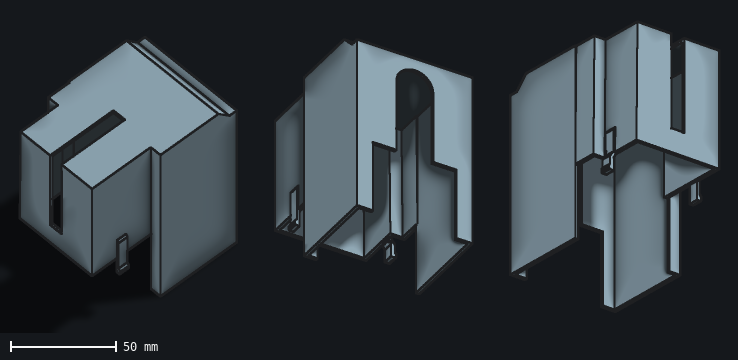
import cadquery as cq

width = 63.5
depth = 88.0
height = 102.0

side_wall = 1.8
front_wall = 1.5
top_wall = 1.6

skirt_front = 38.2
left_step_front = 24.4
step_width = 6.7
body_bottom = 39.2
left_lean = 0.6

ledge_drop = 6.9
ledge_depth = 4.9
slope_run = 7.1

slot_width = 7.9
slot_bottom = 51.9
slot_back = 41.2
rear_flange = 8.8
arch_radius = 10.2
rear_opening_top = 88.2

clip_front = 16.3
clip_width = 5.8
clip_bottom = 29.1
clip_top = 52.2
clip_chamfer = 1.3
clip_bulge_bottom = 30.1
clip_bulge_top = 31.1
rib_bottom = 36.7
rib_top = 41.5
rib_width = 0.3
rib_depth = 1.3

mid_x = width / 2
front_left = step_width
front_right = width - step_width


def box(x0, x1, y0, y1, z0, z1):
    """Box between two opposite corners."""
    return cq.Workplane("XY").box(x1 - x0, y1 - y0, z1 - z0, centered=False).translate((x0, y0, z0))


def prism_along_y(points, y0, y1):
    """Extrude an XZ outline from y0 to y1."""
    return cq.Workplane("XZ", origin=(0, y0, 0)).polyline(points).close().extrude(y0 - y1)


def leaning_block(x0, x1, y0, y1, z0, z1):
    """Block whose left face leans inward towards the roof."""
    outline = [(x0, z0), (x1, z0), (x1, z1), (x0 + left_lean, z1)]
    return prism_along_y(outline, y0, y1)


def rear_block(x0, x1, y0, y1, z0, inset):
    """Rear block with the sloped roof edge, lowered and shifted forward by inset."""
    top = height - inset
    ledge = top - ledge_drop
    slope_end = y1 - ledge_depth
    outline = [
        (y0, z0),
        (y1, z0),
        (y1, ledge),
        (slope_end, ledge),
        (slope_end - slope_run, top),
        (y0, top),
    ]
    return cq.Workplane("YZ", origin=(x0, 0, 0)).polyline(outline).close().extrude(x1 - x0)


def make_outside():
    rear = rear_block(0, width, skirt_front, depth, 0, 0)
    shoulder = leaning_block(0, mid_x, left_step_front, skirt_front, body_bottom, height)
    front = leaning_block(front_left, front_right, 0, skirt_front, body_bottom, height)
    return rear.union(shoulder).union(front)


def make_cavity():
    roof = height - top_wall
    inner_left = front_left + side_wall
    inner_right = front_right - side_wall
    rear_start = skirt_front + front_wall
    rear = rear_block(side_wall, width - side_wall, rear_start, depth - top_wall, 0, top_wall)
    shoulder = leaning_block(
        side_wall, mid_x, left_step_front + front_wall, rear_start, body_bottom, roof
    )
    front = leaning_block(inner_left, inner_right, front_wall, rear_start, body_bottom, roof)
    between_skirts = box(side_wall, front_right, skirt_front, rear_start, 0, body_bottom)
    return rear.union(shoulder).union(front).union(between_skirts)


def make_slot():
    """Slot through the roof and down the front wall."""
    return box(mid_x - slot_width / 2, mid_x + slot_width / 2, 0, slot_back, slot_bottom, height)


def make_rear_opening():
    """Gap between the rear flanges with a narrower round-topped window above it."""
    opening_start = depth - 2 * top_wall
    gap = box(rear_flange, width - rear_flange, opening_start, depth, 0, body_bottom)
    arch_left = mid_x - arch_radius
    arch_right = mid_x + arch_radius
    spring = rear_opening_top - arch_radius
    window = (
        cq.Workplane("XZ", origin=(0, depth, 0))
        .moveTo(arch_left, 0)
        .lineTo(arch_left, spring)
        .threePointArc((mid_x, rear_opening_top), (arch_right, spring))
        .lineTo(arch_right, 0)
        .close()
        .extrude(depth - opening_start)
    )
    return gap.union(window)


def make_left_clip():
    """Cranked clip bent outward below the body, with a rib beside the bend."""
    root_x = 7.1
    outer_x = 5.6
    lower_outer_x = 3.7
    lower_inner_x = 6.0
    bulge_x = 3.0
    tip_x = 3.4
    bulge_start = 31.9
    inner_bend_bottom = 36.0
    inner_bend_top = 38.0
    bend_bottom = 36.4
    bend_top = 39.0
    outline = [
        (root_x, clip_top),
        (front_left, clip_top),
        (outer_x, clip_top - clip_chamfer),
        (outer_x, bend_top),
        (lower_outer_x, bend_bottom),
        (lower_outer_x, bulge_start),
        (bulge_x, clip_bulge_top),
        (bulge_x, clip_bulge_bottom),
        (tip_x, clip_bottom),
        (lower_inner_x, clip_bottom),
        (lower_inner_x, inner_bend_bottom),
        (root_x, inner_bend_top),
    ]
    clip_back = clip_front + clip_width
    clip = prism_along_y(outline, clip_front, clip_back)
    rib = box(root_x - rib_depth, root_x, clip_back, clip_back + rib_width, rib_bottom, rib_top)
    return clip.union(rib)


def make_right_clip():
    """Straight clip with a bulged tip."""
    root_x = 56.3
    outer_x = 57.8
    bulge_x = 59.0
    tip_x = 58.5
    bulge_start = 32.6
    outline = [
        (root_x, clip_top),
        (front_right, clip_top),
        (outer_x, clip_top - clip_chamfer),
        (outer_x, bulge_start),
        (bulge_x, clip_bulge_top),
        (bulge_x, clip_bulge_bottom),
        (tip_x, clip_bottom),
        (root_x, clip_bottom),
    ]
    return prism_along_y(outline, clip_front, clip_front + clip_width)


shell = make_outside().cut(make_cavity()).cut(make_slot()).cut(make_rear_opening())
result = shell.union(make_left_clip()).union(make_right_clip())